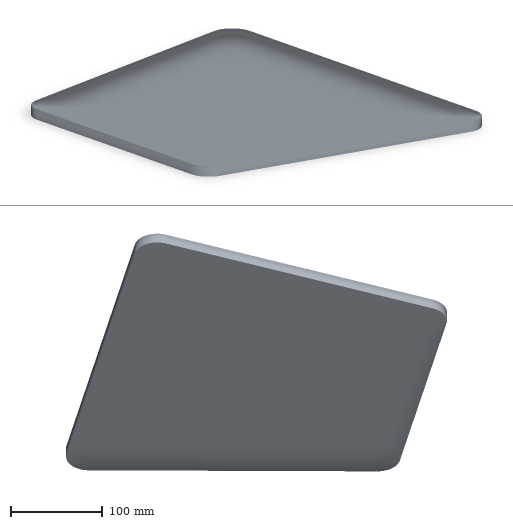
import cadquery as cq

FRONT_WIDTH = 300.0
BACK_WIDTH = 440.0
DEPTH = 360.0
THICKNESS = 12.0
CORNER_RADIUS = 25.0


def trapezoid_plate():
    """Symmetric trapezoid centred on the origin, wide edge toward +Y."""
    corners = [
        (-FRONT_WIDTH / 2, -DEPTH / 2),
        (FRONT_WIDTH / 2, -DEPTH / 2),
        (BACK_WIDTH / 2, DEPTH / 2),
        (-BACK_WIDTH / 2, DEPTH / 2),
    ]
    return cq.Workplane("XY").polyline(corners).close().extrude(THICKNESS)


def round_corners(plate):
    """Round the four upright corner edges."""
    return plate.edges("|Z").fillet(CORNER_RADIUS)


result = round_corners(trapezoid_plate())